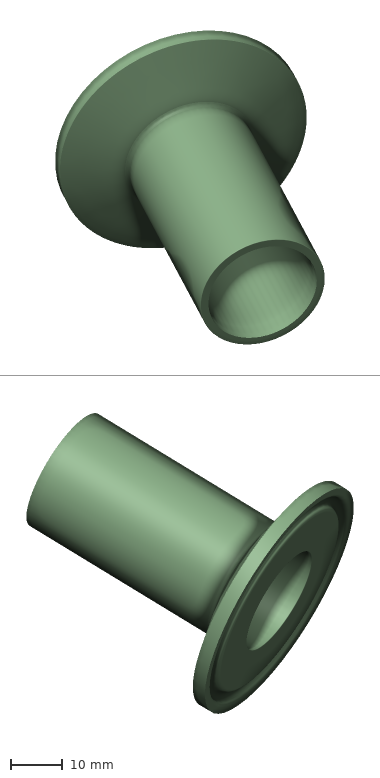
import cadquery as cq
import math

LENGTH = 50.8
FLANGE_DIAMETER = 50.39
TUBE_DIAMETER = 25.4
BORE_DIAMETER = 22.1
EDGE_BREAK_RADIUS = 0.13

TAPER_ANGLE = 20.0
RIM_WIDTH = 2.86
NECK_RADIUS = 1.0

GROOVE_CENTER_RADIUS = 21.83
GROOVE_DEPTH = 1.55
GROOVE_FLANK_ANGLE = 65.0
GROOVE_EDGE_RADIUS = 0.8
GROOVE_FLOOR_RADIUS = 1.2

TOLERANCE = 0.001

flange_radius = FLANGE_DIAMETER / 2
tube_radius = TUBE_DIAMETER / 2
bore_radius = BORE_DIAMETER / 2
taper_length = (flange_radius - tube_radius) * math.tan(math.radians(TAPER_ANGLE))
neck_x = RIM_WIDTH + taper_length


def make_body():
    """Solid of revolution about X: rim, tapered back face and tube."""
    profile = (
        cq.Workplane("XY")
        .lineTo(0, flange_radius)
        .lineTo(RIM_WIDTH, flange_radius)
        .lineTo(neck_x, tube_radius)
        .lineTo(LENGTH, tube_radius)
        .lineTo(LENGTH, 0)
        .close()
    )
    return profile.revolve(360, (0, 0, 0), (1, 0, 0))


def round_edge(body, x, edge_radius, fillet_radius):
    """Fillet the circular edge about the X axis at the given x and radius."""

    def is_target(edge):
        box = edge.BoundingBox()
        lies_at_x = math.isclose(box.center.x, x, abs_tol=TOLERANCE)
        is_flat = box.xlen < TOLERANCE
        return lies_at_x and is_flat and math.isclose(edge.radius(), edge_radius, abs_tol=TOLERANCE)

    return body.edges("%CIRCLE").filter(is_target).fillet(fillet_radius)


def round_edges(body):
    """Blend the taper into the tube and break the exposed sharp edges."""
    broken_edges = (
        (RIM_WIDTH, flange_radius),
        (LENGTH, tube_radius),
        (0, bore_radius),
    )
    body = round_edge(body, neck_x, tube_radius, NECK_RADIUS)
    for x, radius in broken_edges:
        body = round_edge(body, x, radius, EDGE_BREAK_RADIUS)
    return body


def make_groove():
    """Ring cutter, symmetric about the groove centre radius."""
    flank = math.radians(GROOVE_FLANK_ANGLE)
    half_flank = flank / 2

    edge_depth = GROOVE_EDGE_RADIUS * (1 - math.cos(flank))
    floor_depth = GROOVE_DEPTH - GROOVE_FLOOR_RADIUS * (1 - math.cos(flank))
    floor_width = GROOVE_FLOOR_RADIUS * math.sin(flank)
    edge_width = floor_width + (floor_depth - edge_depth) / math.tan(flank)
    mouth_width = edge_width + GROOVE_EDGE_RADIUS * math.sin(flank)

    mid_depth = GROOVE_EDGE_RADIUS * (1 - math.cos(half_flank))
    mid_width = mouth_width - GROOVE_EDGE_RADIUS * math.sin(half_flank)

    def at(depth, offset):
        return (depth, GROOVE_CENTER_RADIUS + offset)

    section = (
        cq.Workplane("XY")
        .moveTo(*at(0, -mouth_width))
        .threePointArc(at(mid_depth, -mid_width), at(edge_depth, -edge_width))
        .lineTo(*at(floor_depth, -floor_width))
        .threePointArc(at(GROOVE_DEPTH, 0), at(floor_depth, floor_width))
        .lineTo(*at(edge_depth, edge_width))
        .threePointArc(at(mid_depth, mid_width), at(0, mouth_width))
        .close()
    )
    return section.revolve(360, (0, 0, 0), (1, 0, 0))


def make_bore():
    return cq.Workplane("YZ").circle(bore_radius).extrude(LENGTH)


result = round_edges(make_body().cut(make_bore())).cut(make_groove())